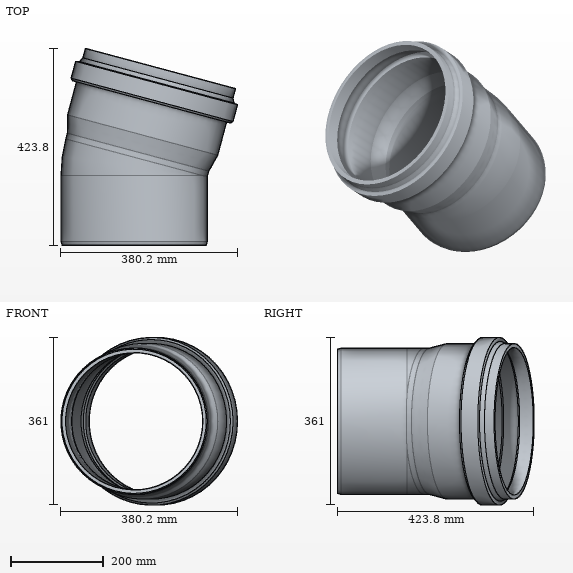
import cadquery as cq
import math

spigot_radius = 157.7
bore_radius = 147.5
spigot_length = 149.5
end_chamfer_length = 8.5
end_chamfer_depth = 2.5

bend_angle = 15
bend_radius = 148.5

socket_radius = 167.5
socket_bore_radius = 158.5
flare_start = 12.7
flare_end = 51.0
collar_radius = 180.5
collar_start = 124.5
collar_end = 166.5
collar_chamfer = 4.5
shoulder_radius = 172.0
shoulder_start = 168.5
shoulder_end = 178.0
socket_length = 199.3

groove_diameter = 343.0
groove_radius = groove_diameter / 2
groove_start = 130.0
groove_end = 165.0
groove_ramp_radius = 163.0
groove_ramp_end = 169.0

angle = math.radians(bend_angle)
socket_plane = cq.Plane(
    origin=(bend_radius * (1 - math.cos(angle)), spigot_length + bend_radius * math.sin(angle), 0),
    xDir=(math.cos(angle), -math.sin(angle), 0),
    normal=(0, 0, 1),
)


def turned(plane, profile):
    """Revolve (radius, distance) points about the local Y axis of the plane."""
    start, end = profile[0][1], profile[-1][1]
    outline = [(0, start)] + profile + [(0, end)]
    return cq.Workplane(plane).polyline(outline).close().revolve(360, (0, 0), (0, 1))


def bend(radius):
    """Round bar swept around the bend axis, trimmed where it would cross that axis."""
    section = cq.Sketch().circle(radius)
    if radius > bend_radius:
        overhang = radius - bend_radius
        section = section.push([(bend_radius + overhang / 2, 0)]).rect(overhang, 2 * radius, mode="s")
    return (
        cq.Workplane("XZ", origin=(0, spigot_length, 0))
        .placeSketch(section.reset())
        .revolve(bend_angle, (bend_radius, 0), (bend_radius, -1))
    )


def outer_body():
    spigot = turned(cq.Plane.XY(), [
        (spigot_radius - end_chamfer_depth, 0),
        (spigot_radius, end_chamfer_length),
        (spigot_radius, spigot_length),
    ])
    socket = turned(socket_plane, [
        (spigot_radius, 0),
        (spigot_radius, flare_start),
        (socket_radius, flare_end),
        (socket_radius, collar_start),
        (collar_radius - collar_chamfer, collar_start),
        (collar_radius, collar_start + collar_chamfer),
        (collar_radius, collar_end),
        (shoulder_radius, shoulder_start),
        (socket_radius, shoulder_end),
        (socket_radius, socket_length),
    ])
    return spigot.union(bend(spigot_radius)).union(socket)


def inner_passage():
    spigot_bore = turned(cq.Plane.XY(), [(bore_radius, 0), (bore_radius, spigot_length)])
    socket_bore = turned(socket_plane, [
        (bore_radius, 0),
        (bore_radius, flare_start),
        (socket_bore_radius, flare_end),
        (socket_bore_radius, groove_start),
        (groove_radius, groove_start),
        (groove_radius, groove_end),
        (groove_ramp_radius, groove_end),
        (socket_bore_radius, groove_ramp_end),
        (socket_bore_radius, socket_length),
    ])
    return spigot_bore.union(bend(bore_radius)).union(socket_bore)


result = outer_body().cut(inner_passage())